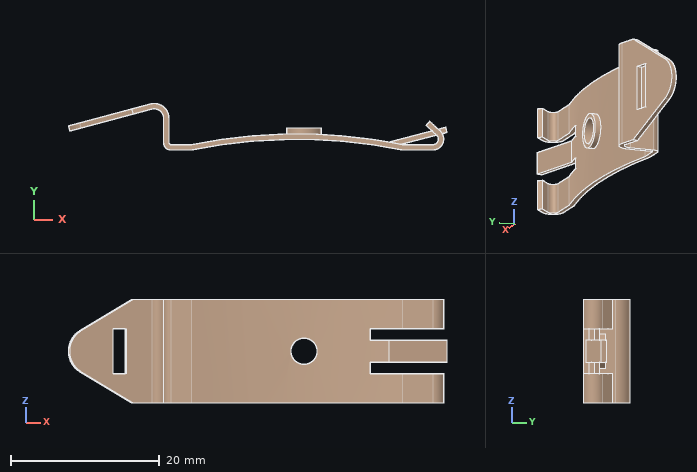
import cadquery as cq
import math


thickness = 0.75
width = 14.0
height = 6.3

wall_x = 12.82
foot_bend_radius = 1.0
upper_bend_radius = 2.0

tab_angle = math.radians(15)
tab_tip_radius = 3.2
tab_shoulder_distance = 8.85
window_start = 6.05
window_length = 1.88
window_height = 6.0

arch_start_x = 16.6
arch_end_x = 45.0
arch_rise = 1.45

hook_start_x = 49.1
hook_bend_radius = 1.48
hook_angle = math.radians(43)
hook_leg_length = 1.95

tongue_width = 3.0
tongue_bend_x = 43.2
tongue_angle = math.radians(14.5)
tongue_end_x = 51.03
relief_width = 1.5
relief_start_x = 40.7

hole_x = 31.75
hole_diameter = 3.5
collar_diameter = 4.7
collar_top_y = 3.0

arch_mid_x = (arch_start_x + arch_end_x) / 2
arch_half_chord = (arch_end_x - arch_start_x) / 2
arch_radius = (arch_half_chord**2 + arch_rise**2) / (2 * arch_rise)
arch_center_y = arch_rise - arch_radius

foot_bend_inner = foot_bend_radius - thickness
foot_bend_center = (wall_x + foot_bend_radius, foot_bend_radius)
foot_bend_middle = math.radians(225)

upper_bend_inner = upper_bend_radius - thickness
upper_bend_center = (wall_x - upper_bend_inner, height - upper_bend_radius)
tab_normal = math.pi / 2 + tab_angle
upper_bend_middle = tab_normal / 2

hook_bend_inner = hook_bend_radius - thickness
hook_bend_center = (hook_start_x, hook_bend_radius)
hook_normal = math.pi / 2 - hook_angle
hook_bend_middle = (hook_normal - math.pi / 2) / 2
hook_leg_direction = math.pi - hook_angle


def polar(origin, distance, angle):
    """Point at a distance and angle (radians, from +X) from an origin."""
    return (origin[0] + distance * math.cos(angle), origin[1] + distance * math.sin(angle))


def arch_front_y(x):
    """Height of the arch's front face at a given X."""
    return arch_center_y + math.sqrt(arch_radius**2 - (x - arch_mid_x) ** 2)


def extrude_across(profile, span):
    """Close an XY profile and extrude it symmetrically about Z = 0."""
    return profile.close().extrude(span / 2, both=True)


def through_box(start_x, end_x, span, center_z=0):
    """Box between two X stations that passes through the whole part in Y."""
    length = end_x - start_x
    box = cq.Workplane("XY").box(length, 4 * height, span)
    return box.translate((start_x + length / 2, 0, center_z))


def make_strip():
    """Upper bend, wall, foot, arch and hook as one full-width bent strip."""
    bend_top_inner = polar(upper_bend_center, upper_bend_inner, tab_normal)
    bend_top_outer = polar(upper_bend_center, upper_bend_radius, tab_normal)
    hook_outer = polar(hook_bend_center, hook_bend_radius, hook_normal)
    hook_inner = polar(hook_bend_center, hook_bend_inner, hook_normal)
    profile = (
        cq.Workplane("XY")
        .moveTo(*bend_top_inner)
        .threePointArc(
            polar(upper_bend_center, upper_bend_inner, upper_bend_middle),
            polar(upper_bend_center, upper_bend_inner, 0),
        )
        .lineTo(wall_x, foot_bend_radius)
        .threePointArc(
            polar(foot_bend_center, foot_bend_radius, foot_bend_middle),
            (foot_bend_center[0], 0),
        )
        .lineTo(arch_start_x, 0)
        .threePointArc((arch_mid_x, arch_rise), (arch_end_x, 0))
        .lineTo(hook_start_x, 0)
        .threePointArc(polar(hook_bend_center, hook_bend_radius, hook_bend_middle), hook_outer)
        .lineTo(*polar(hook_outer, hook_leg_length, hook_leg_direction))
        .lineTo(*polar(hook_inner, hook_leg_length, hook_leg_direction))
        .lineTo(*hook_inner)
        .threePointArc(
            polar(hook_bend_center, hook_bend_inner, hook_bend_middle),
            (hook_start_x, thickness),
        )
        .lineTo(arch_end_x, thickness)
        .threePointArc((arch_mid_x, arch_rise + thickness), (arch_start_x, thickness))
        .lineTo(foot_bend_center[0], thickness)
        .threePointArc(
            polar(foot_bend_center, foot_bend_inner, foot_bend_middle),
            (wall_x + thickness, foot_bend_radius),
        )
        .lineTo(*polar(upper_bend_center, upper_bend_radius, 0))
        .threePointArc(
            polar(upper_bend_center, upper_bend_radius, upper_bend_middle),
            bend_top_outer,
        )
    )
    return extrude_across(profile, width)


def make_tab():
    """Tapered handle tab with a rounded tip and a window, cut square to its own plane."""
    bend_top_outer = polar(upper_bend_center, upper_bend_radius, tab_normal)
    tab_length = bend_top_outer[0] / math.cos(tab_angle)
    tip = polar(bend_top_outer, -tab_length, tab_angle)
    plane = cq.Plane(
        origin=(tip[0], tip[1], 0),
        xDir=(math.cos(tab_angle), math.sin(tab_angle), 0),
        normal=(math.sin(tab_angle), -math.cos(tab_angle), 0),
    )
    half_width = width / 2
    shoulder_reach = tab_shoulder_distance - tab_tip_radius
    shoulder_direction = math.atan2(half_width, shoulder_reach)
    tangent_offset = math.acos(tab_tip_radius / math.hypot(half_width, shoulder_reach))
    tangent = polar((tab_tip_radius, 0), tab_tip_radius, shoulder_direction + tangent_offset)
    tab = (
        cq.Workplane(plane)
        .moveTo(tab_length, half_width)
        .lineTo(tab_shoulder_distance, half_width)
        .lineTo(*tangent)
        .threePointArc((0, 0), (tangent[0], -tangent[1]))
        .lineTo(tab_shoulder_distance, -half_width)
        .lineTo(tab_length, -half_width)
        .close()
        .extrude(thickness)
    )
    window = (
        cq.Workplane(plane)
        .center(window_start + window_length / 2, 0)
        .rect(window_length, window_height)
        .extrude(thickness)
    )
    return tab.cut(window)


def cut_prong_gap(strip):
    """Cut the two relief slots and clear the room for the tongue beyond its bend."""
    relief_offset = (tongue_width + relief_width) / 2
    for side in (-1, 1):
        relief = through_box(relief_start_x, tongue_end_x, relief_width, side * relief_offset)
        strip = strip.cut(relief)
    return strip.cut(through_box(tongue_bend_x, tongue_end_x, tongue_width))


def make_tongue():
    """Straight tongue rising from its bend line on the arch."""
    bend_front = (tongue_bend_x, arch_front_y(tongue_bend_x))
    bend_back = (tongue_bend_x, bend_front[1] + thickness)
    length = (tongue_end_x - tongue_bend_x) / math.cos(tongue_angle)
    end_front = polar(bend_front, length, tongue_angle)
    end_back = polar(end_front, thickness, tongue_angle + math.pi / 2)
    profile = cq.Workplane("XY").polyline([bend_front, end_front, end_back, bend_back])
    return extrude_across(profile, tongue_width)


def make_collar():
    """Round collar standing on the back of the arch, rooted at mid-thickness."""
    root_y = arch_rise + thickness / 2
    collar = cq.Workplane("XZ", origin=(hole_x, root_y, 0)).circle(collar_diameter / 2)
    return collar.extrude(root_y - collar_top_y)


def make_hole():
    """Cylinder through the arch and the collar."""
    circle = cq.Workplane("XZ", origin=(hole_x, 0, 0)).circle(hole_diameter / 2)
    return circle.extrude(height, both=True)


result = cut_prong_gap(make_strip())
result = result.union(make_tab()).union(make_tongue()).union(make_collar())
result = result.cut(make_hole())